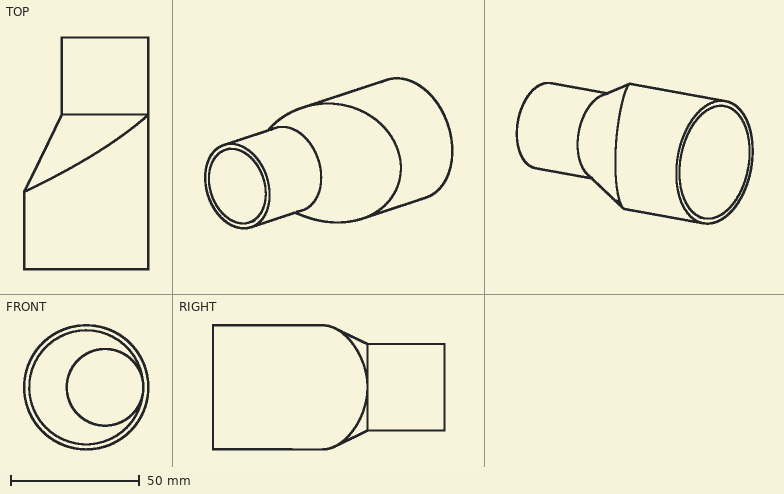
import cadquery as cq

LARGE_OD = 48.3
SMALL_OD = 33.7
WALL = 2.0
LARGE_LENGTH = 30.0
TRANSITION_LENGTH = 30.0
SMALL_LENGTH = 30.0
LARGE_BORE_DEPTH = 10.0

LARGE_ID = LARGE_OD - 2 * WALL
SMALL_ID = SMALL_OD - 2 * WALL
AXIS_OFFSET = (LARGE_OD - SMALL_OD) / 2
TRANSITION_END = LARGE_LENGTH + TRANSITION_LENGTH
ALONG_Y = cq.Vector(0, 1, 0)


def cylinder(diameter, axis_x, start_y, length):
    """Cylinder parallel to Y, starting at start_y."""
    base_center = cq.Vector(axis_x, start_y, 0)
    return cq.Workplane(cq.Solid.makeCylinder(diameter / 2, length, base_center, ALONG_Y))


def circle_wire(diameter, center_x, center_y):
    """Circle in a plane normal to Y."""
    return cq.Wire.makeCircle(diameter / 2, cq.Vector(center_x, center_y, 0), ALONG_Y)


def outer_transition():
    """Large cylinder trimmed by a cone coaxial with the small pipe."""
    base_radius = LARGE_OD / 2 + AXIS_OFFSET
    slant_profile = [
        (LARGE_LENGTH, 0),
        (LARGE_LENGTH, -base_radius),
        (TRANSITION_END, -SMALL_OD / 2),
        (TRANSITION_END, 0),
    ]
    cone = (
        cq.Workplane("YZ", origin=(AXIS_OFFSET, 0, 0))
        .polyline(slant_profile)
        .close()
        .revolve(360, (0, 0), (1, 0))
    )
    return cylinder(LARGE_OD, 0, LARGE_LENGTH, TRANSITION_LENGTH).intersect(cone)


def outer_body():
    """Solid reducer before boring."""
    large_end = cylinder(LARGE_OD, 0, 0, LARGE_LENGTH)
    small_end = cylinder(SMALL_OD, AXIS_OFFSET, TRANSITION_END, SMALL_LENGTH)
    return outer_transition().union(large_end).union(small_end).clean()


def bore():
    """Straight bores joined by an oblique cone."""
    large_bore = cylinder(LARGE_ID, 0, 0, LARGE_BORE_DEPTH)
    small_bore = cylinder(SMALL_ID, AXIS_OFFSET, TRANSITION_END, SMALL_LENGTH)
    large_circle = circle_wire(LARGE_ID, 0, LARGE_BORE_DEPTH)
    small_circle = circle_wire(SMALL_ID, AXIS_OFFSET, TRANSITION_END)
    oblique_cone = cq.Workplane(cq.Solid.makeLoft([large_circle, small_circle], True))
    return oblique_cone.union(large_bore).union(small_bore)


result = outer_body().cut(bore())